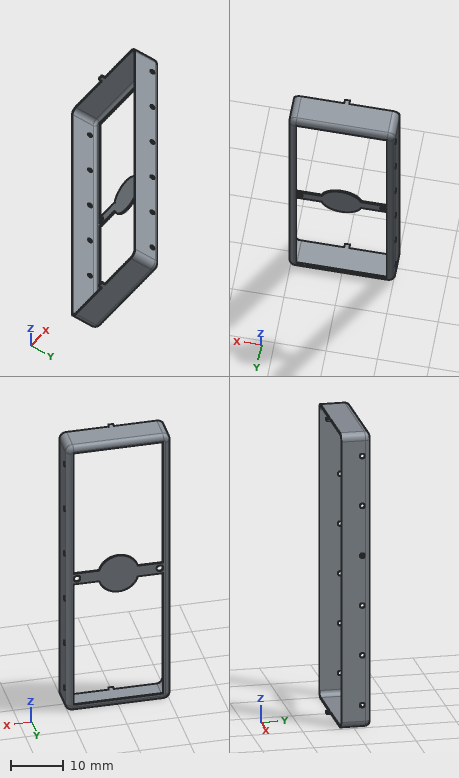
import cadquery as cq

width = 20.6
height = 59.3
depth = 5.75
wall = 0.35
corner_radius = 1.4
back_fillet = 1.05
inner_fillet = 0.6
rim_width = 1.5
window_width = width - 2 * rim_width
window_height = height - 2 * rim_width

strap_width = 2.4
pad_diameter = 8.0
strap_hole_diameter = 1.3
strap_hole_spacing = 16.3

side_hole_diameter = 0.95
side_hole_count = 6
side_hole_pitch = 10.0
side_hole_from_back = 1.65

tab_width = 1.0
tab_thickness = wall
tab_length = 0.8

front_y = 0.0
back_y = front_y + depth
floor_y = back_y - wall


def block(size_x, size_z, y_start, y_end):
    """Box centred on X and Z, spanning y_start to y_end."""
    return (
        cq.Workplane("XZ", origin=(0, y_start, 0))
        .rect(size_x, size_z)
        .extrude(y_start - y_end)
    )


def make_tray():
    """Rounded shell with a back wall, open towards -Y."""
    outer = block(width, height, front_y, back_y)
    outer = outer.edges("|Y").fillet(corner_radius)
    outer = outer.faces(">Y").edges().fillet(back_fillet)
    cavity = block(width - 2 * wall, height - 2 * wall, front_y, floor_y)
    cavity = cavity.edges("|Y").fillet(corner_radius - wall)
    cavity = cavity.faces(">Y").edges().fillet(inner_fillet)
    return outer.cut(cavity)


def make_window():
    """Rectangular opening that leaves a narrow rim of the back wall."""
    return block(window_width, window_height, front_y, back_y)


def make_strap():
    """Cross strap and central pad, level with the back wall."""
    strap = block(window_width, strap_width, floor_y, back_y)
    pad = (
        cq.Workplane("XZ", origin=(0, floor_y, 0))
        .circle(pad_diameter / 2)
        .extrude(-wall)
    )
    return strap.union(pad)


def make_strap_holes():
    """Pair of holes at the ends of the strap."""
    return (
        cq.Workplane("XZ", origin=(0, front_y, 0))
        .rarray(strap_hole_spacing, 0.6, 2, 1)
        .circle(strap_hole_diameter / 2)
        .extrude(-depth)
    )


def make_side_holes():
    """Row of holes running along X through both long walls."""
    return (
        cq.Workplane("YZ", origin=(0, back_y - side_hole_from_back, 0))
        .rarray(0.6, side_hole_pitch, 1, side_hole_count)
        .circle(side_hole_diameter / 2)
        .extrude(width, both=True)
    )


def make_tab(side):
    """Tab on the top (side = 1) or bottom (side = -1) wall."""
    tab = block(tab_width, tab_thickness, front_y - tab_length, front_y)
    return tab.translate((0, 0, side * (height - tab_thickness) / 2))


result = make_tray().cut(make_window()).union(make_strap())
result = result.cut(make_strap_holes()).cut(make_side_holes())
for side in (1, -1):
    result = result.union(make_tab(side))